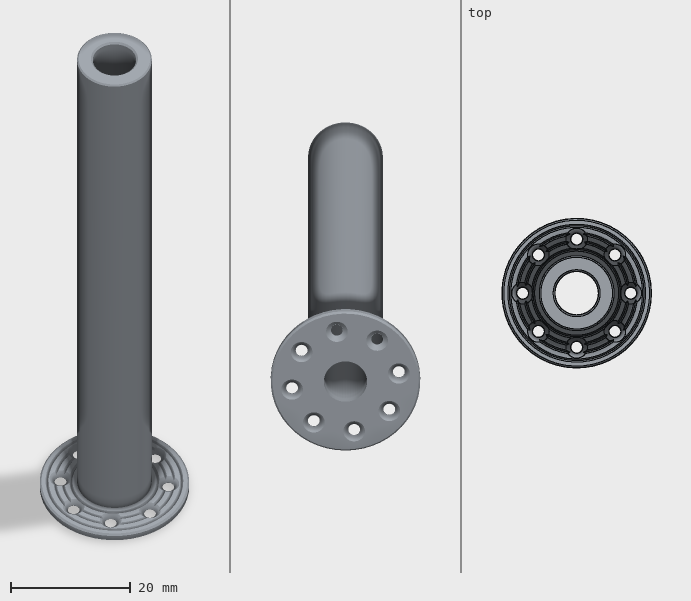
import cadquery as cq

total_height = 103.1
tube_diameter = 12.5
tube_chamfer = 0.26
bore_diameter = 7.2
bore_chamfer = 0.3

flange_diameter = 25.0
flange_chamfer = 0.3
rim_height = 0.98
flange_thickness = rim_height + 2 * flange_chamfer

hole_count = 8
hole_circle_diameter = 18.0
hole_diameter = 2.0
countersink_diameter = 3.6

groove_count = 4
groove_width = 0.5
groove_depth = 0.4
inner_groove_margin = 1.0
outer_groove_margin = 1.2
first_groove_radius = tube_diameter / 2 + inner_groove_margin
last_groove_radius = flange_diameter / 2 - outer_groove_margin
groove_pitch = (last_groove_radius - first_groove_radius) / (groove_count - 1)


def make_flange():
    disc = cq.Workplane("XY").circle(flange_diameter / 2).extrude(flange_thickness)
    return disc.edges("%CIRCLE").chamfer(flange_chamfer)


def make_tube():
    tube = cq.Workplane("XY").circle(tube_diameter / 2).extrude(total_height)
    return tube.faces(">Z").chamfer(tube_chamfer)


def make_groove(radius):
    """Ring with a V section, point down, level with the upper flange face."""
    section = [
        (radius - groove_width / 2, flange_thickness),
        (radius, flange_thickness - groove_depth),
        (radius + groove_width / 2, flange_thickness),
    ]
    return cq.Workplane("XZ").polyline(section).close().revolve(360, (0, 0, 0), (0, 1, 0))


def make_flange_hole():
    """Through hole on the Z axis with a 45 degree countersink at each end."""
    hole_radius = hole_diameter / 2
    countersink_radius = countersink_diameter / 2
    countersink_depth = countersink_radius - hole_radius
    half_section = [
        (0, 0),
        (countersink_radius, 0),
        (hole_radius, countersink_depth),
        (hole_radius, flange_thickness - countersink_depth),
        (countersink_radius, flange_thickness),
        (0, flange_thickness),
    ]
    return cq.Workplane("XZ").polyline(half_section).close().revolve(360, (0, 0, 0), (0, 1, 0))


def make_bore():
    """Bore through the full height, widened by a chamfer at the top."""
    bore_radius = bore_diameter / 2
    mouth_radius = bore_radius + bore_chamfer
    half_section = [
        (0, 0),
        (bore_radius, 0),
        (bore_radius, total_height - bore_chamfer),
        (mouth_radius, total_height),
        (0, total_height),
    ]
    return cq.Workplane("XZ").polyline(half_section).close().revolve(360, (0, 0, 0), (0, 1, 0))


result = make_flange().union(make_tube()).cut(make_bore())

for index in range(groove_count):
    result = result.cut(make_groove(first_groove_radius + index * groove_pitch))

for index in range(hole_count):
    hole = make_flange_hole().translate((hole_circle_diameter / 2, 0, 0))
    result = result.cut(hole.rotate((0, 0, 0), (0, 0, 1), index * 360 / hole_count))